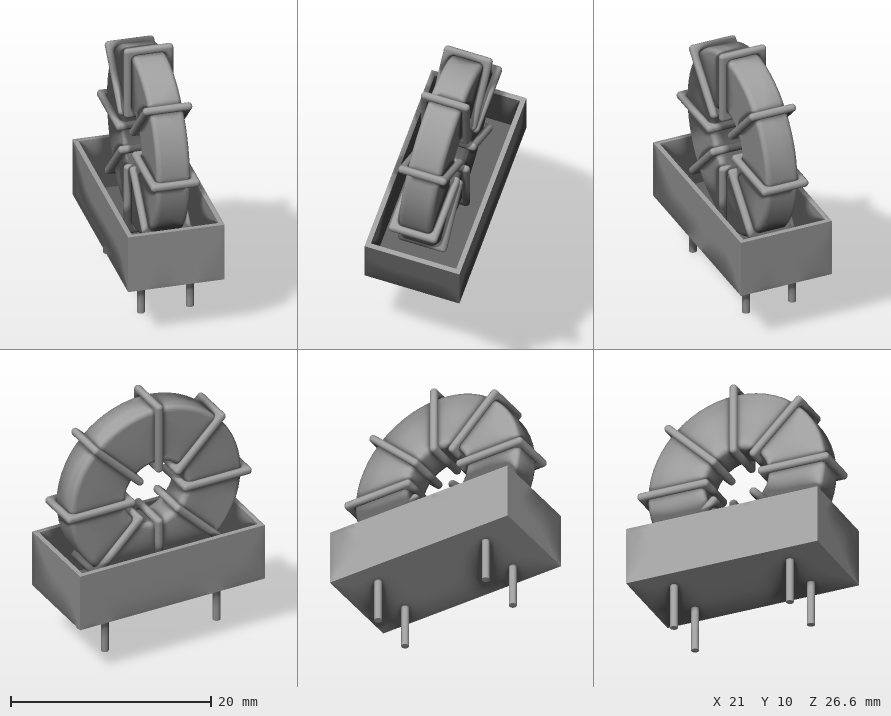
import cadquery as cq

PART_LENGTH = 21.0
PART_HEIGHT = 26.55

HOUSING_WIDTH = 10.0
HOUSING_HEIGHT = 6.25
WALL = 0.5
PIN_DIAMETER = 0.8
PIN_LENGTH = 4.8
PIN_SPACING_X = 12.72
PIN_SPACING_Y = 5.07

TURN_COUNT = 8
WIRE = 0.8
WIRE_ROUNDING = 0.37
CORE_WIDTH = 3.5
CORE_ROUNDING = 0.5
TURN_INNER_RADIUS = 2.7
WIRE_BITE = 0.013

housing_bottom = PIN_LENGTH
turn_outer_radius = PART_LENGTH / 2
coil_center_z = PART_HEIGHT - turn_outer_radius
window_inner_radius = TURN_INNER_RADIUS + WIRE
window_outer_radius = turn_outer_radius - WIRE
core_inner_radius = window_inner_radius - WIRE_BITE
core_outer_radius = window_outer_radius + WIRE_BITE


def make_housing():
    """Open-topped box with its four pins, as one solid."""
    box = (
        cq.Workplane("XY", origin=(0, 0, housing_bottom))
        .box(PART_LENGTH, HOUSING_WIDTH, HOUSING_HEIGHT, centered=(True, True, False))
        .faces(">Z")
        .shell(-WALL)
    )
    pins = (
        cq.Workplane("XY")
        .rarray(PIN_SPACING_X, PIN_SPACING_Y, 2, 2)
        .circle(PIN_DIAMETER / 2)
        .extrude(PIN_LENGTH)
    )
    return box.union(pins)


def make_core():
    """Ring core centred on the origin, with all four rims rounded."""
    return (
        cq.Workplane("XZ")
        .circle(core_outer_radius)
        .circle(core_inner_radius)
        .extrude(CORE_WIDTH / 2, both=True)
        .edges("%CIRCLE")
        .fillet(CORE_ROUNDING)
    )


def make_turn():
    """One closed wire turn around the core, on the +X side of the coil axis."""
    turn_length = turn_outer_radius - TURN_INNER_RADIUS
    turn_width = CORE_WIDTH + 2 * WIRE
    middle_radius = (turn_outer_radius + TURN_INNER_RADIUS) / 2

    block = cq.Workplane("XY").box(turn_length, turn_width, WIRE).edges().fillet(WIRE_ROUNDING)
    window = (
        cq.Workplane("XY")
        .box(turn_length - 2 * WIRE, CORE_WIDTH, WIRE)
        .edges("|Z")
        .fillet(CORE_ROUNDING)
    )
    window_edges = cq.selectors.BoxSelector(
        (-turn_length / 2 + WIRE / 2, -turn_width / 2 + WIRE / 2, -WIRE),
        (turn_length / 2 - WIRE / 2, turn_width / 2 - WIRE / 2, WIRE),
    )
    frame = block.cut(window)
    frame = frame.faces("<Z or >Z").edges(window_edges).fillet(WIRE_ROUNDING)
    return frame.translate((middle_radius, 0, 0))


def make_coil():
    """Core and turns joined into one solid, in place above the housing floor."""
    coil = make_core()
    turn = make_turn()
    for index in range(TURN_COUNT):
        angle = index * 360 / TURN_COUNT
        coil = coil.union(turn.rotate((0, 0, 0), (0, 1, 0), angle))
    return coil.translate((0, 0, coil_center_z))


housing = make_housing()
coil = make_coil()

result = cq.Compound.makeCompound([housing.solids().val(), coil.solids().val()])